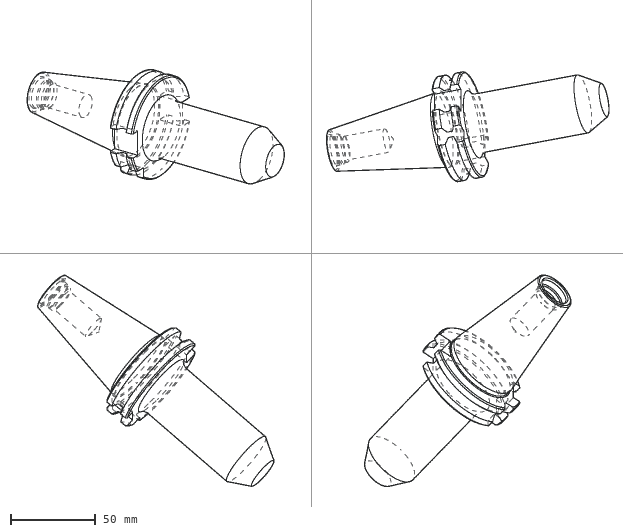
import cadquery as cq
import math

total_length = 168.2
gauge_x = 67.8
flange_start = 71.2
flange_end = 87.5
nose_start = 155.1

gauge_radius = 22.4
small_end_radius = 12.5
collar_radius = 22.2
collar_start = 68.6
collar_root_radius = 22.9
collar_root_length = 0.5
flange_diameter = 63.5
flange_radius = flange_diameter / 2
body_radius = 17.5
nose_radius = 10.5

end_chamfer = 0.5
end_chamfer_rise = 0.8
flange_chamfer = 0.8
neck_fillet = 5.5
neck_rise = 2.7

groove_center = 79.4
groove_floor_radius = 28.1
groove_floor_half_width = 1.7
groove_wall_angle = 28.0
groove_floor_fillet = 0.7

slot_height = 15.8
deep_slot_y = 22.4
shallow_slot_y = 25.2
notch_y = 18.8
notch_z = 18.5
notch_fillet = 1.0

bore_mouth_radius = 9.8
pilot_radius = 9.3
entry_radius = 8.4
drill_radius = 7.0
mouth_depth = 1.3
pilot_depth = 4.9
pilot_cone_end = 5.5
entry_depth = 7.9
entry_cone_end = 8.7
drill_depth = 33.6
drill_point_angle = 118.0


def revolve_about_x(outline):
    return outline.close().revolve(360, (0, 0, 0), (1, 0, 0))


def make_body():
    groove_depth = flange_radius - groove_floor_radius
    wall_run = groove_depth * math.tan(math.radians(groove_wall_angle))
    groove_half_width = groove_floor_half_width + wall_run
    neck_sweep = math.acos(1 - neck_rise / neck_fillet)
    neck_end = flange_end + neck_fillet * math.sin(neck_sweep)
    neck_mid_x = neck_end - neck_fillet * math.sin(neck_sweep / 2)
    neck_mid_radius = body_radius + neck_fillet * (1 - math.cos(neck_sweep / 2))
    taper_slope = (gauge_radius - small_end_radius) / gauge_x
    chamfer_radius = small_end_radius + taper_slope * end_chamfer
    outline = (
        cq.Workplane("XY")
        .moveTo(0, 0)
        .lineTo(0, small_end_radius - end_chamfer_rise)
        .lineTo(end_chamfer, chamfer_radius)
        .lineTo(gauge_x, gauge_radius)
        .lineTo(collar_start, collar_radius)
        .lineTo(flange_start - collar_root_length, collar_radius)
        .lineTo(flange_start, collar_root_radius)
        .lineTo(flange_start, flange_radius - flange_chamfer)
        .lineTo(flange_start + flange_chamfer, flange_radius)
        .lineTo(groove_center - groove_half_width, flange_radius)
        .lineTo(groove_center - groove_floor_half_width, groove_floor_radius)
        .lineTo(groove_center + groove_floor_half_width, groove_floor_radius)
        .lineTo(groove_center + groove_half_width, flange_radius)
        .lineTo(flange_end - flange_chamfer, flange_radius)
        .lineTo(flange_end, flange_radius - flange_chamfer)
        .lineTo(flange_end, body_radius + neck_rise)
        .threePointArc((neck_mid_x, neck_mid_radius), (neck_end, body_radius))
        .lineTo(nose_start, body_radius)
        .lineTo(total_length - end_chamfer, nose_radius)
        .lineTo(total_length, nose_radius - end_chamfer)
        .lineTo(total_length, 0)
    )
    body = revolve_about_x(outline)
    floor_circles = body.edges("%CIRCLE").filter(
        lambda edge: math.isclose(edge.radius(), groove_floor_radius)
    )
    return floor_circles.fillet(groove_floor_fillet)


def make_flange_cutter(y_min, y_max, z_min, z_max):
    length = flange_end - flange_start
    return cq.Workplane("XY").box(length, y_max - y_min, z_max - z_min, centered=False).translate(
        (flange_start, y_min, z_min)
    )


def make_bore():
    point_length = drill_radius / math.tan(math.radians(drill_point_angle / 2))
    outline = (
        cq.Workplane("XY")
        .moveTo(0, 0)
        .lineTo(0, bore_mouth_radius)
        .lineTo(mouth_depth, pilot_radius)
        .lineTo(pilot_depth, pilot_radius)
        .lineTo(pilot_cone_end, entry_radius)
        .lineTo(entry_depth, entry_radius)
        .lineTo(entry_cone_end, drill_radius)
        .lineTo(drill_depth, drill_radius)
        .lineTo(drill_depth + point_length, 0)
    )
    return revolve_about_x(outline)


half_slot = slot_height / 2
deep_slot = make_flange_cutter(deep_slot_y, flange_radius, -half_slot, half_slot)
shallow_slot = make_flange_cutter(-flange_radius, -shallow_slot_y, -half_slot, half_slot)
notch = make_flange_cutter(-flange_radius, -notch_y, -flange_radius, -notch_z)
notch = notch.edges(">Y and >Z").fillet(notch_fillet)

result = make_body().cut(deep_slot).cut(shallow_slot).cut(notch).cut(make_bore())